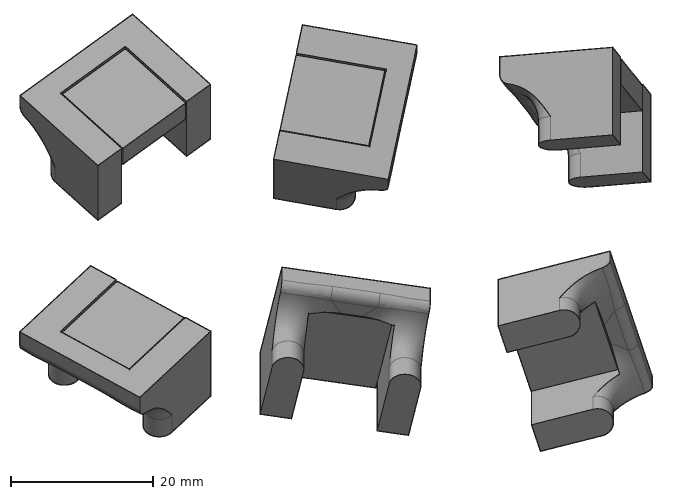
import cadquery as cq
import math

DEPTH = 16.4
WIDTH = 21.25
HEIGHT = 13.0

BAR_DEPTH = 3.5
BAR_THICKNESS = 4.0
LEG_WIDTH = 4.5
LEG_FRONT = 5.15
LEG_STRAIGHT = 3.5
FRONT_EDGE_RADIUS = 1.45

GAP = 0.2
PANEL_RECESS = 0.2

NOSE_RADIUS = LEG_WIDTH / 2
NOSE_X = LEG_FRONT + NOSE_RADIUS
BAR_BOTTOM = HEIGHT - BAR_THICKNESS
FLARE_RADIUS = BAR_BOTTOM - LEG_STRAIGHT
LEG_CENTRES_Y = (NOSE_RADIUS, WIDTH - NOSE_RADIUS)


def block(x_min, x_max, y_min, y_max, z_min, z_max):
    """Box given by its limits along each axis."""
    size = (x_max - x_min, y_max - y_min, z_max - z_min)
    return cq.Workplane("XY").box(*size, centered=False).translate((x_min, y_min, z_min))


def make_flared_nose(centre_y):
    """Round column on the leg axis, flaring tangentially into the underside of the bar."""
    flare_rim = NOSE_RADIUS + FLARE_RADIUS
    diagonal = FLARE_RADIUS * math.sqrt(0.5)
    flare_middle = (flare_rim - diagonal, LEG_STRAIGHT + diagonal)
    return (
        cq.Workplane("XZ")
        .lineTo(NOSE_RADIUS, 0)
        .lineTo(NOSE_RADIUS, LEG_STRAIGHT)
        .threePointArc(flare_middle, (flare_rim, BAR_BOTTOM))
        .lineTo(flare_rim, HEIGHT)
        .lineTo(0, HEIGHT)
        .close()
        .revolve(360, (0, 0, 0), (0, 1, 0))
        .translate((NOSE_X, centre_y, 0))
    )


def round_lower_front_edge(frame):
    """Round the edge where the front face meets the flat and flared underside."""
    front_face = frame.faces("<X")
    lower_edges = front_face.edges("not(|Z or >Z)")
    return frame.newObject([frame.val().fillet(FRONT_EDGE_RADIUS, lower_edges.vals())])


def make_frame():
    """Crossbar and legs, open at the back and below the bar."""
    frame = block(0, BAR_DEPTH, 0, WIDTH, BAR_BOTTOM, HEIGHT)
    for centre_y in LEG_CENTRES_Y:
        side = (centre_y - NOSE_RADIUS, centre_y + NOSE_RADIUS)
        frame = frame.union(block(0, NOSE_X, *side, BAR_BOTTOM, HEIGHT))
        frame = frame.union(block(NOSE_X, DEPTH, *side, 0, HEIGHT))
        frame = frame.union(make_flared_nose(centre_y))
    opening = block(BAR_DEPTH, DEPTH, LEG_WIDTH, WIDTH - LEG_WIDTH, 0, HEIGHT)
    envelope = block(0, DEPTH, 0, WIDTH, 0, HEIGHT)
    frame = frame.intersect(envelope).cut(opening)
    return round_lower_front_edge(frame.solids())


def make_panel():
    """Flat panel between the legs, flush with the back and flat underside of the frame."""
    margin = LEG_WIDTH + GAP
    return block(BAR_DEPTH + GAP, DEPTH, margin, WIDTH - margin, BAR_BOTTOM, HEIGHT - PANEL_RECESS)


frame = make_frame()
panel = make_panel()

result = cq.Compound.makeCompound([frame.solids().val(), panel.val()])